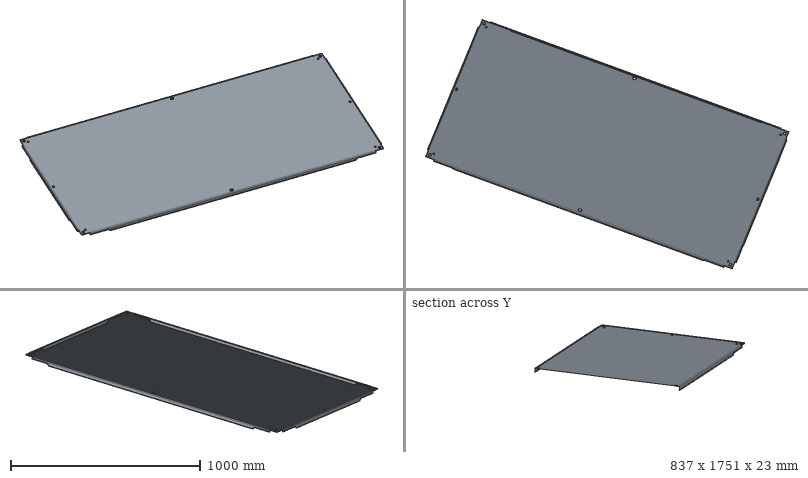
import cadquery as cq

width = 837.0
length = 1751.0
height = 23.0

thickness = 3.0
bend_radius = 2 * thickness

strip_depth = 11.4
lip_slope = 9.0
end_strip_length = 737.0
end_lip_length = 535.0
side_strip_length = 1646.0
side_lip_length = 1432.0

corner_hole_diameter = 12.8
corner_hole_inset = 23.0
pin_hole_diameter = 7.2
pin_hole_inset_x = 37.0
pin_hole_inset_y = 40.0
side_slot_length = 18.0
side_slot_width = corner_hole_diameter
end_slot_length = corner_hole_diameter
end_slot_width = pin_hole_diameter
slot_inset = 21.0


def folded_channel(span, run):
    """Downward channel of the given outer span, extruded along Y and centred on it."""
    outer = (
        cq.Workplane("XZ")
        .rect(span, 2 * height)
        .extrude(run / 2, both=True)
        .edges("|Y and >Z")
        .fillet(bend_radius)
    )
    inner = (
        cq.Workplane("XZ")
        .rect(span - 2 * thickness, 2 * (height - thickness))
        .extrude(run / 2, both=True)
        .edges("|Y and >Z")
        .fillet(bend_radius - thickness)
    )
    upper_half = cq.Workplane("XY").box(span, run, height, centered=(True, True, False))
    return outer.cut(inner).intersect(upper_half)


def flange_outline(span, strip_length, lip_length):
    """Block bounded by the side outline of a flange: strip on top, lip below."""
    strip_bottom = height - strip_depth
    half_strip = strip_length / 2
    half_lip = lip_length / 2
    return (
        cq.Workplane("YZ")
        .moveTo(-half_strip, height)
        .lineTo(-half_strip, strip_bottom)
        .lineTo(-half_lip, strip_bottom)
        .lineTo(-half_lip + lip_slope, 0)
        .lineTo(half_lip - lip_slope, 0)
        .lineTo(half_lip, strip_bottom)
        .lineTo(half_strip, strip_bottom)
        .lineTo(half_strip, height)
        .close()
        .extrude(span / 2, both=True)
    )


def flanged_strip(span, strip_length, lip_length):
    """Sheet folded down at both X ends, with the flanges trimmed to their outline."""
    channel = folded_channel(span, strip_length)
    return channel.intersect(flange_outline(span, strip_length, lip_length))


def flat_sheet():
    """Flat face of the panel, ending at the start of the bends on all four sides."""
    flat_width = width - 2 * bend_radius
    flat_length = length - 2 * bend_radius
    sheet = cq.Workplane("XY").workplane(offset=height - thickness)
    return sheet.rect(flat_width, flat_length).extrude(thickness)


def corner_holes(inset_x, inset_y, diameter):
    """Cutters for one round hole in each corner."""
    spacing_x = width - 2 * inset_x
    spacing_y = length - 2 * inset_y
    return (
        cq.Workplane("XY")
        .rect(spacing_x, spacing_y, forConstruction=True)
        .vertices()
        .circle(diameter / 2)
        .extrude(2 * height)
    )


def edge_slots():
    """Cutters for one slot at the middle of each edge, lying along that edge."""
    slot_x = width / 2 - slot_inset
    slot_y = length / 2 - slot_inset
    side_slots = (
        cq.Workplane("XY")
        .pushPoints([(-slot_x, 0), (slot_x, 0)])
        .slot2D(side_slot_length, side_slot_width, 90)
        .extrude(2 * height)
    )
    end_slots = (
        cq.Workplane("XY")
        .pushPoints([(0, -slot_y), (0, slot_y)])
        .slot2D(end_slot_length, end_slot_width)
        .extrude(2 * height)
    )
    return side_slots.union(end_slots)


side_flanges = flanged_strip(width, side_strip_length, side_lip_length)
end_flanges = flanged_strip(length, end_strip_length, end_lip_length)
end_flanges = end_flanges.rotate((0, 0, 0), (0, 0, 1), 90)

panel = flat_sheet().union(side_flanges).union(end_flanges)
panel = panel.cut(corner_holes(corner_hole_inset, corner_hole_inset, corner_hole_diameter))
panel = panel.cut(corner_holes(pin_hole_inset_x, pin_hole_inset_y, pin_hole_diameter))
result = panel.cut(edge_slots())